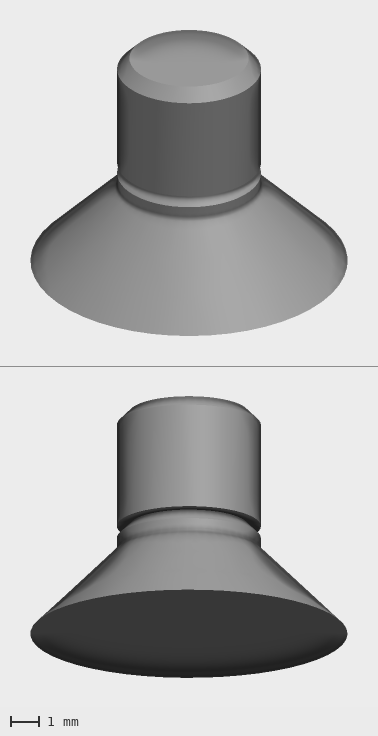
import cadquery as cq
import math

head_radius = 5.52
total_height = 8.0
shank_radius = 2.5
end_chamfer = 0.43
undercut_depth = 0.43
undercut_shoulder_z = 3.89
fillet_radius = 0.2
cone_angle = math.radians(45)

collar_top_z = undercut_shoulder_z - undercut_depth
neck_radius = shank_radius - undercut_depth

corner_z = (head_radius - shank_radius) / math.tan(cone_angle)
fillet_center_r = shank_radius + fillet_radius
fillet_center_z = corner_z + fillet_radius * math.tan(cone_angle / 2)


def fillet_point(angle):
    """Point on the fillet, at an angle below the horizontal inward direction."""
    return (
        fillet_center_r - fillet_radius * math.cos(angle),
        fillet_center_z - fillet_radius * math.sin(angle),
    )


profile = (
    cq.Workplane("XZ")
    .lineTo(head_radius, 0)
    .lineTo(*fillet_point(cone_angle))
    .threePointArc(fillet_point(cone_angle / 2), fillet_point(0))
    .lineTo(shank_radius, collar_top_z)
    .lineTo(neck_radius, undercut_shoulder_z)
    .lineTo(shank_radius, undercut_shoulder_z)
    .lineTo(shank_radius, total_height - end_chamfer)
    .lineTo(shank_radius - end_chamfer, total_height)
    .lineTo(0, total_height)
    .close()
)

result = profile.revolve(360, (0, 0, 0), (0, 1, 0))